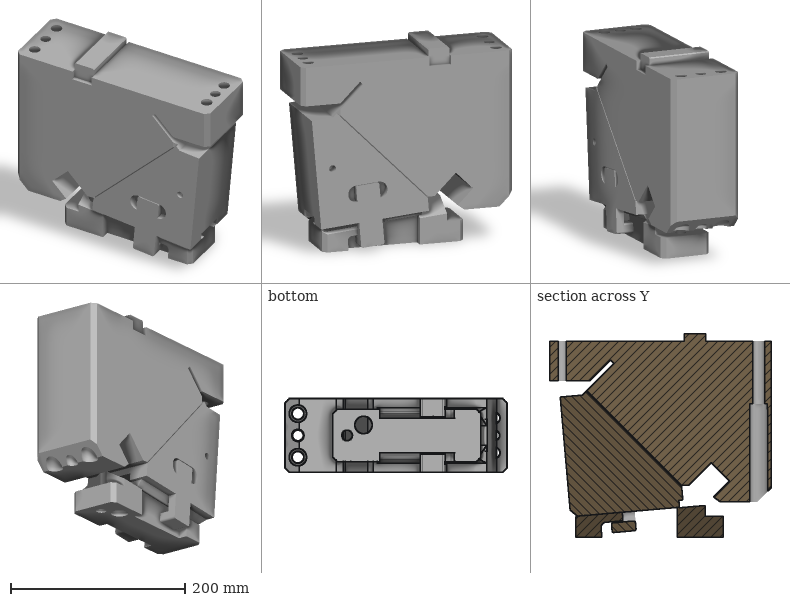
import cadquery as cq
import math


LENGTH = 255.0
WIDTH = 85.0
HALF_WIDTH = WIDTH / 2
HOLDER_BOTTOM_Z = 40.5
HOLDER_TOP_Z = 225.2
CORNER_CHAMFER = 5.4

FLANGE_BOTTOM_Z = 179.5
FOOT_CHAMFER = 16.5
NOSE_X = 212.7
NOSE_Z = 168.0
NOSE_CHAMFER = 4.3
GUIDE_EDGE_CHAMFER = 1.3
GUIDE_LOW_Z = 59.7
GUIDE_LOW_X = NOSE_X - (NOSE_Z - GUIDE_LOW_Z)
SLOT_LENGTH = 44.5
SLOT_WIDTH = 5.0
NOTCH_PEAK_X = 69.0
NOTCH_PEAK_Z = 85.5
NOTCH_DEPTH = 20.7
NOTCH_LIP_X = 66.8
FOOT_END_X = 59.0

KEY_X = 75.2
KEY_WIDTH = 25.5
KEY_LENGTH = 75.0
KEY_TOP_Z = 234.0
KEY_SLOT_FLOOR_Z = 214.5
KEY_CHAMFER = 1.3

HOLE_END_DISTANCE = 15.0
SCREW_DIAMETER = 13.3
DOWEL_DIAMETER = 12.2
LEFT_SCREW_Y = 25.0
RIGHT_SCREW_Y = 20.0
SCREW_HEAD_DIAMETER = 20.0
DOWEL_RELIEF_DIAMETER = 14.0
SEAT_Z = 153.0

SLOPE = math.radians(5)
ROOF_ANGLE = math.radians(30)
RIDGE_X = 75.7
RIDGE_Z = 51.5

DRIVER_LEFT_X = 55.0
DRIVER_RIGHT_X = 225.0
DRIVER_WIDTH = 60.2
DRIVER_CHAMFER = 5.0
LEDGE_Z = 24.5
DRIVER_BORE_X = 90.3
DRIVER_BORE_Y = -12.0
DRIVER_BORE_DIAMETER = 20.0
LOCATING_HOLE_X = 71.5
LOCATING_HOLE_DIAMETER = 12.0
SIDE_RECESS_X = 108.6
SIDE_RECESS_DEPTH = 10.2
UNDERCUT_END = 122.7
UNDERCUT_TOP = -24.2
UNDERCUT_RADIUS = 5.5

SLIDER_START = 26.5
SLIDER_END = 156.8
SLIDER_TOP = 124.0
SLIDER_BOTTOM = -6.5
LIP_START = 31.0
LIP_ROOT_Y = 32.0
GROOVE_RELIEF = 3.8
GROOVE_RELIEF_WIDTH = 72.5
RIDGE_SLOT_WIDTH = 36.7
RIDGE_SLOT_CLEARANCE = 2.3
LIP_TIP_RADIUS = 1.5
PIN_HOLE_X = 217.8
PIN_HOLE_Z = 102.8
PIN_HOLE_DIAMETER = 8.2
PIN_HOLE_DEPTH = 12.8
PIN_HOLE_POINT = 2.3

CLIP_CENTRE = 97.0
CLIP_WIDTH = 28.0
CLIP_TOP = 37.5
CLIP_BOTTOM = -36.7
CLIP_THICKNESS = 9.7
CLIP_RADIUS = 2.3
HOOK_HEIGHT = 11.7
HOOK_REACH = 21.0
POCKET_CENTRE_ALONG = 97.5
POCKET_CENTRE_ACROSS = 28.5
POCKET_LENGTH = 47.5
POCKET_HEIGHT = 20.0


def side_plane(y=0.0):
    """Plane seen from -Y with X right and Z up; extruding goes toward -Y."""
    return cq.Workplane("XZ", origin=(0, y, 0))


def slope_plane(y=0.0):
    """Like side_plane, but tilted along the slope and centred on the ridge start."""
    along = (math.cos(SLOPE), 0, -math.sin(SLOPE))
    return cq.Workplane(cq.Plane(origin=(RIDGE_X, y, RIDGE_Z), xDir=along, normal=(0, -1, 0)))


def section_plane(distance):
    """Plane square to the slope, a distance along the ridge; Y right and up across the slope."""
    along = cq.Vector(math.cos(SLOPE), 0, -math.sin(SLOPE))
    origin = cq.Vector(RIDGE_X, 0, RIDGE_Z) + along * distance
    return cq.Workplane(cq.Plane(origin=origin, xDir=(0, 1, 0), normal=along))


def both_sides(body):
    """The shape together with its mirror image across the middle plane."""
    return body.union(body.mirror("XZ"))


def upright_block(left, right, width, bottom, top, chamfer):
    """Block with chamfered vertical edges."""
    return (
        cq.Workplane("XY")
        .box(right - left, width, top - bottom, centered=(False, True, False))
        .edges("|Z")
        .chamfer(chamfer)
        .translate((left, 0, bottom))
    )


def cylinders(points, diameter, bottom, top):
    """Vertical cylinders at the given X, Y places."""
    base = cq.Workplane("XY", origin=(0, 0, bottom))
    return base.pushPoints(points).circle(diameter / 2).extrude(top - bottom)


def holder_outline():
    """Side profile with the foot, notch, inclined face and relief slot."""
    diagonal = math.sqrt(0.5)
    slot_end_x = NOSE_X - SLOT_LENGTH * diagonal
    slot_end_z = NOSE_Z + SLOT_LENGTH * diagonal
    slot_corner_x = slot_end_x + SLOT_WIDTH * diagonal
    slot_corner_z = slot_end_z + SLOT_WIDTH * diagonal
    notch_left_x = NOTCH_PEAK_X - NOTCH_DEPTH
    notch_left_z = NOTCH_PEAK_Z - NOTCH_DEPTH
    points = [
        (0, HOLDER_TOP_Z),
        (0, HOLDER_BOTTOM_Z + FOOT_CHAMFER),
        (FOOT_CHAMFER, HOLDER_BOTTOM_Z),
        (FOOT_END_X, HOLDER_BOTTOM_Z),
        (NOTCH_LIP_X, notch_left_z - (NOTCH_LIP_X - notch_left_x)),
        (notch_left_x, notch_left_z),
        (NOTCH_PEAK_X, NOTCH_PEAK_Z),
        (NOTCH_PEAK_X + NOTCH_PEAK_Z - GUIDE_LOW_Z, GUIDE_LOW_Z),
        (GUIDE_LOW_X, GUIDE_LOW_Z),
        (NOSE_X, NOSE_Z),
        (slot_end_x, slot_end_z),
        (slot_corner_x, slot_corner_z),
        (slot_corner_x + slot_corner_z - FLANGE_BOTTOM_Z, FLANGE_BOTTOM_Z),
        (LENGTH, FLANGE_BOTTOM_Z),
        (LENGTH, HOLDER_TOP_Z),
    ]
    return side_plane(HALF_WIDTH).polyline(points).close().extrude(WIDTH)


def guide_chamfer():
    """Bevel along the front edge of the inclined face."""
    middle = ((GUIDE_LOW_X + NOSE_X) / 2, -HALF_WIDTH, (GUIDE_LOW_Z + NOSE_Z) / 2)
    reach = math.hypot(NOSE_X - GUIDE_LOW_X, NOSE_Z - GUIDE_LOW_Z) / 2
    return (
        cq.Workplane(cq.Plane(origin=middle, xDir=(0, 1, 0), normal=(1, 0, 1)))
        .polyline([(0, GUIDE_EDGE_CHAMFER), (GUIDE_EDGE_CHAMFER, 0), (0, 0)])
        .close()
        .extrude(reach, both=True)
    )


def nose_chamfer():
    """Vertical 45 degree bevel on the nose, clear of the flange above it."""
    start = NOSE_X - NOSE_CHAMFER
    return (
        cq.Workplane("XY", origin=(0, 0, GUIDE_LOW_Z))
        .polyline([(start, -HALF_WIDTH), (NOSE_X, NOSE_CHAMFER - HALF_WIDTH), (NOSE_X, -HALF_WIDTH)])
        .close()
        .extrude(FLANGE_BOTTOM_Z - GUIDE_LOW_Z)
    )


def make_holder():
    block = upright_block(0, LENGTH, WIDTH, HOLDER_BOTTOM_Z, HOLDER_TOP_Z, CORNER_CHAMFER)
    body = holder_outline().intersect(block)
    body = body.cut(both_sides(guide_chamfer())).cut(both_sides(nose_chamfer()))

    key_slot = cq.Workplane("XY").box(
        KEY_WIDTH, WIDTH, HOLDER_TOP_Z - KEY_SLOT_FLOOR_Z, centered=(False, True, False)
    )
    body = body.cut(key_slot.translate((KEY_X, 0, KEY_SLOT_FLOOR_Z)))
    key = (
        cq.Workplane("XY")
        .box(KEY_WIDTH, KEY_LENGTH, KEY_TOP_Z - KEY_SLOT_FLOOR_Z, centered=(False, True, False))
        .edges("|Y and >Z")
        .chamfer(KEY_CHAMFER)
    )
    body = body.union(key.translate((KEY_X, 0, KEY_SLOT_FLOOR_Z)))

    left_x = HOLE_END_DISTANCE
    right_x = LENGTH - HOLE_END_DISTANCE
    left_screws = [(left_x, -LEFT_SCREW_Y), (left_x, LEFT_SCREW_Y)]
    right_screws = [(right_x, -RIGHT_SCREW_Y), (right_x, RIGHT_SCREW_Y)]
    dowels = [(left_x, 0), (right_x, 0)]
    body = body.cut(cylinders(left_screws + right_screws, SCREW_DIAMETER, 0, HOLDER_TOP_Z))
    body = body.cut(cylinders(dowels, DOWEL_DIAMETER, 0, HOLDER_TOP_Z))
    body = body.cut(cylinders(left_screws, SCREW_HEAD_DIAMETER, 0, SEAT_Z))
    return body.cut(cylinders([(left_x, 0)], DOWEL_RELIEF_DIAMETER, 0, SEAT_Z))


def roof_wedge():
    """Long ridged prism that follows the slope: the driver's roof and the slider's groove."""
    half_span = WIDTH
    eave = -half_span * math.tan(ROOF_ANGLE)
    points = [
        (0, 0),
        (half_span, eave),
        (half_span, -LENGTH),
        (-half_span, -LENGTH),
        (-half_span, eave),
    ]
    return (
        section_plane(-LENGTH)
        .polyline(points)
        .close()
        .extrude(2 * LENGTH)
    )


def driver_side_recess():
    """Side relief for the clip hook: open at the top, then an undercut beneath a ledge."""
    wall_y = SIDE_RECESS_DEPTH - DRIVER_WIDTH / 2
    undercut = (
        slope_plane(wall_y)
        .moveTo(0, UNDERCUT_TOP)
        .lineTo(UNDERCUT_END - UNDERCUT_RADIUS, UNDERCUT_TOP)
        .radiusArc((UNDERCUT_END, UNDERCUT_TOP - UNDERCUT_RADIUS), UNDERCUT_RADIUS)
        .lineTo(UNDERCUT_END, -RIDGE_Z)
        .lineTo(0, -RIDGE_Z)
        .close()
        .extrude(DRIVER_WIDTH)
    )
    opening = slope_plane(wall_y).rect(2 * CLIP_CENTRE, 2 * RIDGE_Z).extrude(DRIVER_WIDTH)
    right_of_shoulder = (
        side_plane(wall_y)
        .rect(LENGTH, 2 * RIDGE_Z, centered=(False, True))
        .extrude(DRIVER_WIDTH)
        .translate((SIDE_RECESS_X, 0, 0))
    )
    return undercut.union(opening).intersect(right_of_shoulder)


def make_driver():
    body = upright_block(DRIVER_LEFT_X, DRIVER_RIGHT_X, DRIVER_WIDTH, 0, RIDGE_Z, DRIVER_CHAMFER)
    body = body.intersect(roof_wedge())
    above_ledge = cq.Workplane("XY").box(RIDGE_X, WIDTH, RIDGE_Z, centered=(False, True, False))
    body = body.cut(above_ledge.translate((0, 0, LEDGE_Z)))
    body = body.cut(cylinders([(DRIVER_BORE_X, DRIVER_BORE_Y)], DRIVER_BORE_DIAMETER, 0, RIDGE_Z))
    body = body.cut(cylinders([(LOCATING_HOLE_X, 0)], LOCATING_HOLE_DIAMETER, 0, RIDGE_Z))
    return body.cut(both_sides(driver_side_recess()))


def slope_point(along, across):
    """X, Z of a place measured along and across the slope from the ridge start."""
    x = RIDGE_X + along * math.cos(SLOPE) + across * math.sin(SLOPE)
    z = RIDGE_Z - along * math.sin(SLOPE) + across * math.cos(SLOPE)
    return x, z


def slider_blank():
    """Tilted block under the holder's inclined face, with a 45 degree shoulder down from the nose."""
    top_x, top_z = slope_point(0, SLIDER_TOP)
    fall = math.tan(SLOPE)
    shoulder_x = (NOSE_X + NOSE_Z - top_z - top_x * fall) / (1 - fall)
    shoulder_z = NOSE_Z - (shoulder_x - NOSE_X)
    face_offset = (NOSE_Z - NOSE_X) - (RIDGE_Z - RIDGE_X)
    start_rise = SLIDER_START * (math.cos(SLOPE) + math.sin(SLOPE))
    start_top = (face_offset + start_rise) / (math.cos(SLOPE) - math.sin(SLOPE))
    points = [
        slope_point(SLIDER_START, start_top),
        slope_point(SLIDER_START, SLIDER_BOTTOM),
        slope_point(SLIDER_END, SLIDER_BOTTOM),
        slope_point(SLIDER_END, SLIDER_TOP),
        (shoulder_x, shoulder_z),
        (NOSE_X, NOSE_Z),
    ]
    return side_plane(HALF_WIDTH).polyline(points).close().extrude(WIDTH)


def guide_lip():
    """Lip with a rounded tip, resting on one side of the roof; its far end is cut at 45 degrees."""
    roof_slope = math.tan(ROOF_ANGLE)
    tip_y = (LIP_ROOT_Y - SLIDER_BOTTOM * roof_slope) / (1 + roof_slope**2)
    tip = (-tip_y, -tip_y * roof_slope)
    inner = (SLIDER_BOTTOM / roof_slope, SLIDER_BOTTOM)
    downward = cq.Vector(-math.sin(SLOPE), 0, -math.cos(SLOPE))
    lip = (
        section_plane(LIP_START)
        .polyline([(-LIP_ROOT_Y, SLIDER_BOTTOM), tip, inner])
        .close()
        .extrude(SLIDER_END - LIP_START)
        .edges(cq.selectors.DirectionMinMaxSelector(downward))
        .fillet(LIP_TIP_RADIUS)
    )
    corner = (
        slope_plane()
        .moveTo(SLIDER_END, SLIDER_BOTTOM)
        .line(0, -WIDTH)
        .line(-WIDTH, 0)
        .close()
        .extrude(WIDTH)
    )
    return lip.cut(corner)


def clip():
    """Side plate with an inward hook at its foot."""
    middle = (CLIP_TOP + CLIP_BOTTOM) / 2
    plate = (
        slope_plane(CLIP_THICKNESS - HALF_WIDTH)
        .center(CLIP_CENTRE, middle)
        .rect(CLIP_WIDTH, CLIP_TOP - CLIP_BOTTOM)
        .extrude(CLIP_THICKNESS)
        .edges("|Y")
        .fillet(CLIP_RADIUS)
    )
    hook = (
        slope_plane(HOOK_REACH - HALF_WIDTH)
        .center(CLIP_CENTRE, CLIP_BOTTOM + HOOK_HEIGHT / 2)
        .rect(CLIP_WIDTH, HOOK_HEIGHT)
        .extrude(HOOK_REACH)
        .edges("|Y")
        .fillet(CLIP_RADIUS)
    )
    hook_inside = hook.cut(
        slope_plane(CLIP_THICKNESS - HALF_WIDTH).rect(2 * LENGTH, LENGTH).extrude(CLIP_THICKNESS)
    )
    return plate.union(hook_inside)


def clip_pocket():
    """Round-ended pocket behind the head of the clip."""
    return (
        slope_plane(CLIP_THICKNESS - HALF_WIDTH)
        .center(POCKET_CENTRE_ALONG, POCKET_CENTRE_ACROSS)
        .slot2D(POCKET_LENGTH, POCKET_HEIGHT)
        .extrude(CLIP_THICKNESS)
    )


def pin_hole():
    """Blind hole with a conical drill point."""
    radius = PIN_HOLE_DIAMETER / 2
    profile = [(0, 0), (radius, 0), (radius, PIN_HOLE_DEPTH), (0, PIN_HOLE_DEPTH + PIN_HOLE_POINT)]
    return (
        cq.Workplane("XY", origin=(PIN_HOLE_X, -HALF_WIDTH, PIN_HOLE_Z))
        .polyline(profile)
        .close()
        .revolve(360, (0, 0), (0, 1))
    )


def groove_relief():
    """Enlarged mouth of the roof groove, from the slider's near end to the start of the lips."""
    lift = (GROOVE_RELIEF * math.sin(SLOPE), 0, GROOVE_RELIEF * math.cos(SLOPE))
    mouth = section_plane(0).rect(GROOVE_RELIEF_WIDTH, LENGTH).extrude(LIP_START)
    return roof_wedge().translate(lift).intersect(mouth)


def ridge_slot():
    """Flat-topped slot along the whole groove that keeps the slider clear of the ridge."""
    return (
        section_plane(0)
        .center(0, RIDGE_SLOT_CLEARANCE - RIDGE_SLOT_WIDTH / 2)
        .rect(RIDGE_SLOT_WIDTH, RIDGE_SLOT_WIDTH)
        .extrude(LENGTH)
    )


def make_slider():
    body = slider_blank().cut(roof_wedge()).cut(groove_relief()).cut(ridge_slot())
    body = body.union(both_sides(guide_lip()))
    body = body.cut(both_sides(clip_pocket())).cut(both_sides(pin_hole()))
    return body.union(both_sides(clip()))


holder = make_holder().solids()
slider = make_slider().solids()
driver = make_driver().solids()

result = cq.Compound.makeCompound([holder.val(), slider.val(), driver.val()])